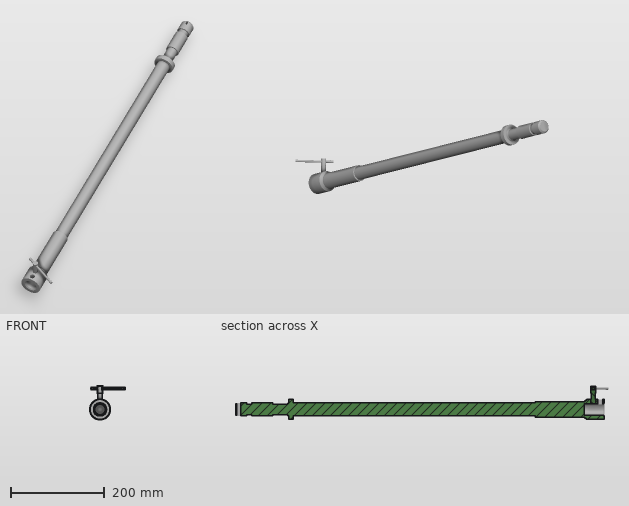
import cadquery as cq


POLE_LENGTH = 789.0
SHOULDER_START = 37.5
SHOULDER_END = 43.0
SLEEVE_END = 148.5
FLANGE_START = POLE_LENGTH - 124.0
FLANGE_END = POLE_LENGTH - 113.0
COLLAR_END = POLE_LENGTH - 110.0
NECK_END = POLE_LENGTH - 80.0
GROOVE_START = POLE_LENGTH - 34.0
GROOVE_END = POLE_LENGTH - 25.0
TIP_CHAMFER = 3.0

SOCKET_DIAMETER = 44.0
SLEEVE_DIAMETER = 34.0
TUBE_DIAMETER = 29.0
NECK_DIAMETER = 23.0
FLANGE_DIAMETER = SOCKET_DIAMETER

BORE_DIAMETER = 23.0
BORE_DEPTH = SHOULDER_END
BORE_CHAMFER = 2.0
TIP_SLOT_WIDTH = 4.0
TIP_SLOT_LENGTH = 8.0
TIP_SLOT_SETBACK = 7.0

SCREW_Y = 24.0
SPARE_HOLE_Y = 9.0
SCREW_DIAMETER = 10.0
HEAD_DIAMETER = 11.0
HEAD_START_Z = 35.0
OVERALL_HEIGHT = 73.0
HEAD_TOP_Z = OVERALL_HEIGHT - SOCKET_DIAMETER / 2
SCREW_BOTTOM_Z = BORE_DIAMETER / 2

LEVER_DIAMETER = 5.0
KNOB_DIAMETER = 5.5
KNOB_LENGTH = 5.5
LEVER_Z = 45.0
LEVER_ANGLE = -30
LEVER_LONG_REACH = 61.0
LEVER_SHORT_REACH = 21.0


def rod_z(diameter, y, start, end):
    """Vertical cylinder at X = 0 between two heights."""
    return cq.Workplane("XY", origin=(0, y, start)).circle(diameter / 2).extrude(end - start)


def rod_x(diameter, start, end):
    """Cylinder on the X axis between two stations."""
    return cq.Workplane("YZ", origin=(start, 0, 0)).circle(diameter / 2).extrude(end - start)


def make_lever():
    """Tommy bar with a thicker knob at each end, crossing the screw axis horizontally."""
    lever = rod_x(LEVER_DIAMETER, -LEVER_SHORT_REACH, LEVER_LONG_REACH)
    for knob_start in (-LEVER_SHORT_REACH, LEVER_LONG_REACH - KNOB_LENGTH):
        lever = lever.union(rod_x(KNOB_DIAMETER, knob_start, knob_start + KNOB_LENGTH))
    lever = lever.rotate((0, 0, 0), (0, 0, 1), LEVER_ANGLE)
    return lever.translate((0, SCREW_Y, LEVER_Z))


def make_pole():
    """Turned pole with a clamping socket at one end and a grooved spigot at the other."""
    socket_radius = SOCKET_DIAMETER / 2
    sleeve_radius = SLEEVE_DIAMETER / 2
    tube_radius = TUBE_DIAMETER / 2
    neck_radius = NECK_DIAMETER / 2
    flange_radius = FLANGE_DIAMETER / 2
    profile = [
        (0, 0),
        (socket_radius, 0),
        (socket_radius, SHOULDER_START),
        (sleeve_radius, SHOULDER_END),
        (sleeve_radius, SLEEVE_END),
        (tube_radius, SLEEVE_END),
        (tube_radius, FLANGE_START),
        (flange_radius, FLANGE_START),
        (flange_radius, FLANGE_END),
        (tube_radius, FLANGE_END),
        (neck_radius, COLLAR_END),
        (neck_radius, NECK_END),
        (tube_radius, NECK_END),
        (tube_radius, GROOVE_START),
        (neck_radius, GROOVE_START),
        (neck_radius, GROOVE_END),
        (tube_radius, GROOVE_END),
        (tube_radius, POLE_LENGTH - TIP_CHAMFER),
        (tube_radius - TIP_CHAMFER, POLE_LENGTH),
        (0, POLE_LENGTH),
    ]
    pole = cq.Workplane("XY").polyline(profile).close().revolve(360, (0, 0, 0), (0, 1, 0))

    bore_radius = BORE_DIAMETER / 2
    bore_profile = [
        (0, 0),
        (bore_radius + BORE_CHAMFER, 0),
        (bore_radius, BORE_CHAMFER),
        (bore_radius, BORE_DEPTH),
        (0, BORE_DEPTH),
    ]
    pole = pole.cut(cq.Workplane("XY").polyline(bore_profile).close().revolve(360, (0, 0, 0), (0, 1, 0)))

    for hole_y in (SCREW_Y, SPARE_HOLE_Y):
        pole = pole.cut(rod_z(SCREW_DIAMETER, hole_y, 0, socket_radius))

    tip_slot = (
        cq.Workplane("XY", origin=(0, POLE_LENGTH - TIP_SLOT_SETBACK, -tube_radius))
        .slot2D(TIP_SLOT_LENGTH, TIP_SLOT_WIDTH, 90)
        .extrude(TUBE_DIAMETER)
    )
    return pole.cut(tip_slot)


def make_screw():
    """Clamping screw, flush with the bore, with a cross-drilled head."""
    shank = rod_z(SCREW_DIAMETER, SCREW_Y, SCREW_BOTTOM_Z, HEAD_START_Z)
    head = rod_z(HEAD_DIAMETER, SCREW_Y, HEAD_START_Z, HEAD_TOP_Z)
    return shank.union(head).cut(make_lever())


pole = make_pole()
screw = make_screw()
lever = make_lever()

result = cq.Compound.makeCompound([pole.val(), screw.val(), lever.val()])